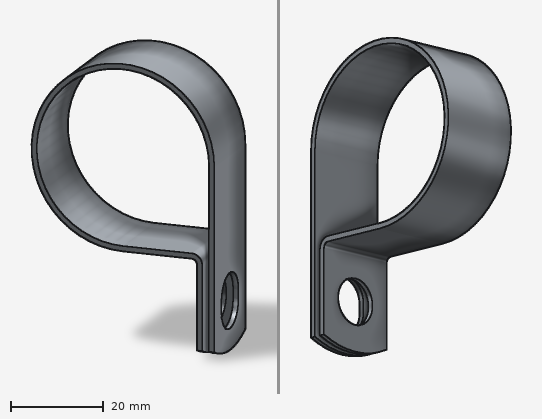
import cadquery as cq

height = 64.7
width = 19.0
loop_diameter = 42.1
thickness = 1.2
leg_gap = 1.55
bend_inner_radius = 1.2
hole_diameter = 10.35
slot_length = 12.5
hole_to_tip = 11.1
tip_sag = 2.15

outer_radius = loop_diameter / 2
inner_radius = outer_radius - thickness
bend_outer_radius = bend_inner_radius + thickness
tip_z = outer_radius - height
short_leg_outer_x = inner_radius - leg_gap
short_leg_inner_x = short_leg_outer_x - thickness
bend_x = short_leg_outer_x - bend_outer_radius
bend_z = -inner_radius - bend_outer_radius
half_width = width / 2
tip_corner_z = tip_z + tip_sag


def make_strap():
    """Bent strip: long leg, three-quarter loop, flat shelf and short leg."""
    diagonal = 0.5 ** 0.5
    outer_mid = outer_radius * diagonal
    inner_mid = inner_radius * diagonal
    bend_outer_mid = bend_outer_radius * diagonal
    bend_inner_mid = bend_inner_radius * diagonal
    return (
        cq.Workplane("XZ")
        .moveTo(outer_radius, tip_z)
        .lineTo(outer_radius, 0)
        .threePointArc((-outer_mid, outer_mid), (0, -outer_radius))
        .lineTo(bend_x, -outer_radius)
        .threePointArc(
            (bend_x + bend_inner_mid, bend_z + bend_inner_mid),
            (short_leg_inner_x, bend_z),
        )
        .lineTo(short_leg_inner_x, tip_z)
        .lineTo(short_leg_outer_x, tip_z)
        .lineTo(short_leg_outer_x, bend_z)
        .threePointArc(
            (bend_x + bend_outer_mid, bend_z + bend_outer_mid),
            (bend_x, -inner_radius),
        )
        .lineTo(0, -inner_radius)
        .threePointArc((-inner_mid, inner_mid), (inner_radius, 0))
        .lineTo(inner_radius, tip_z)
        .close()
        .extrude(half_width, both=True)
    )


def make_side_outline():
    """Rectangle with an arched lower end, used to round both leg tips."""
    return (
        cq.Workplane("YZ")
        .moveTo(-half_width, outer_radius)
        .lineTo(-half_width, tip_corner_z)
        .threePointArc((0, tip_z), (half_width, tip_corner_z))
        .lineTo(half_width, outer_radius)
        .close()
        .extrude(outer_radius, both=True)
    )


def leg_plane(start_x):
    """Sketch plane across X at start_x, centred on the bolt axis."""
    return cq.Workplane("YZ", origin=(start_x, 0, tip_z + hole_to_tip))


def make_short_leg_hole():
    """Round bolt-hole cutter through the short leg."""
    return leg_plane(short_leg_inner_x).circle(hole_diameter / 2).extrude(thickness)


def make_long_leg_slot():
    """Slot cutter through the long leg, elongated along the leg."""
    return leg_plane(inner_radius).slot2D(slot_length, hole_diameter, angle=90).extrude(thickness)


result = (
    make_strap()
    .intersect(make_side_outline())
    .cut(make_short_leg_hole())
    .cut(make_long_leg_slot())
)